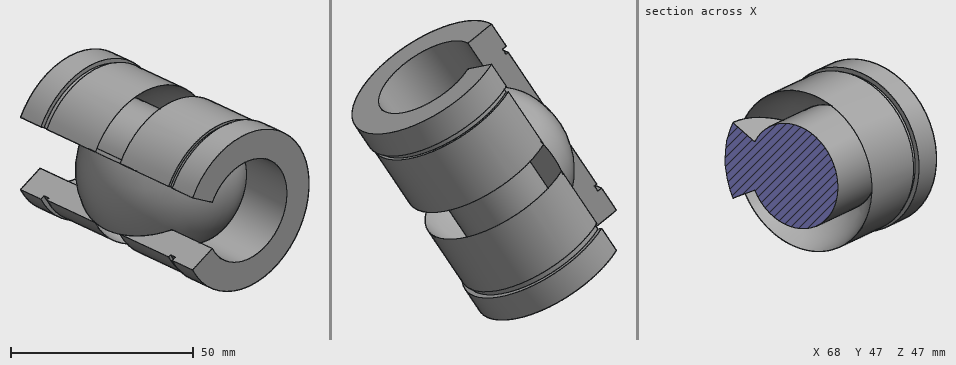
import cadquery as cq
import math

length = 68.0
flange_diameter = 47.0
ball_diameter = flange_diameter
body_radius = 23.0
ring_groove_radius = 22.2
bore_radius = 15.0
flange_width = 8.1
ring_groove_width = 1.85
slot_half_angle = 28.0

bore_overlap = 0.1
slot_overlap_angle = 0.2

half_length = length / 2
flange_radius = flange_diameter / 2
ring_groove_center = half_length - flange_width - ring_groove_width / 2
body_length = length - 2 * flange_width


def cylinder(radius, width, center_x=0.0):
    """Cylinder along X, centred at center_x."""
    return cq.Workplane("YZ", origin=(center_x - width / 2, 0, 0)).circle(radius).extrude(width)


def slot_wedge(half_angle):
    """Radial wedge open toward -Y, running the full length of the sleeve."""
    reach = 2 * flange_radius
    half_height = reach * math.tan(math.radians(half_angle))
    return (
        cq.Workplane("YZ", origin=(-half_length, 0, 0))
        .polyline([(0, 0), (-reach, -half_height), (-reach, half_height)])
        .close()
        .extrude(length)
    )


def full_ball():
    return cq.Workplane("XY").sphere(ball_diameter / 2)


def sleeve():
    """Flanged, slotted sleeve; its spherical socket breaks out through the body at mid-length."""
    body = cylinder(body_radius, body_length)
    for side in (-1, 1):
        flange_center = side * (half_length - flange_width / 2)
        groove_center = side * ring_groove_center
        groove = cylinder(flange_radius, ring_groove_width, groove_center).cut(
            cylinder(ring_groove_radius, ring_groove_width, groove_center)
        )
        body = body.union(cylinder(flange_radius, flange_width, flange_center)).cut(groove)
    bore = cylinder(bore_radius, length)
    return body.cut(bore).cut(slot_wedge(slot_half_angle)).cut(full_ball())


def trimmed_ball():
    """Ball trimmed to the bore and slot, with a small overlap that joins it to the socket."""
    core = cylinder(bore_radius + bore_overlap, length)
    return full_ball().intersect(core.union(slot_wedge(slot_half_angle + slot_overlap_angle)))


result = sleeve().union(trimmed_ball())